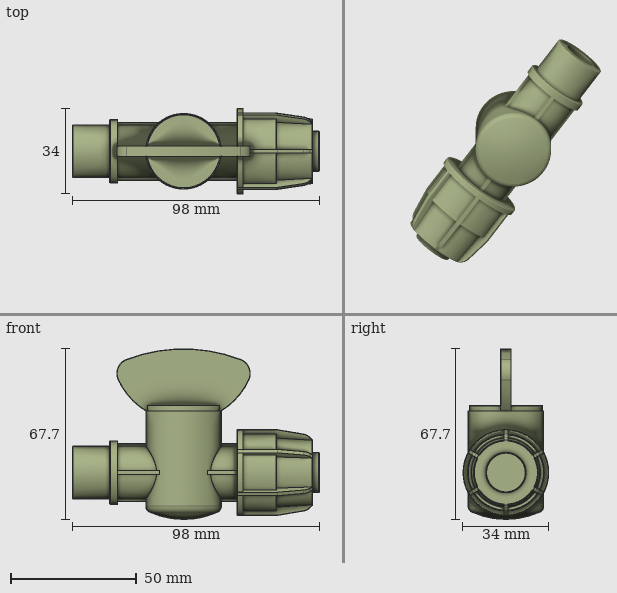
import cadquery as cq
import math


overall_length = 98.0

body_diameter = 30.0
body_top = 24.5
body_bottom = -18.6
dome_radius = 32.3
dome_edge_fillet = 2.5
cap_diameter = 29.0
cap_top = 26.6

handle_thickness = 4.1
handle_top = 49.1
tip_radius = 6.0
tip_center_x = 20.5
tip_center_z = 39.3
tip_lower_angle = -25.0

pipe_diameter = 21.0
bore_diameter = 12.5
spigot_start = -44.1
collar_diameter = 25.2
collar_start = -29.3
collar_end = -26.2
pipe_chamfer = 0.245
rib_width = 1.6
rib_span = 23.0
rib_count = 4

nut_start = 21.2
nut_end = 51.3
flange_diameter = 34.0
flange_thickness = 2.45
grip_diameter = 30.5
grip_end = 36.9
taper_start_diameter = 27.4
taper_end_diameter = 25.7
nut_chamfer = 0.3
fin_count = 6
fin_width = 1.6
fin_slope_start = 37.2
fin_slope_angle = 9.5
fin_nose_angle = 45.0
fin_nose_fillet = 4.9

sleeve_diameter = 16.0
sleeve_end = spigot_start + overall_length


def rod(diameter, start, end):
    """Cylinder on the pipe axis between two X positions."""
    return cq.Workplane("YZ", origin=(start, 0, 0)).circle(diameter / 2).extrude(end - start)


def make_body():
    height = body_top - body_bottom
    body = cq.Workplane("XY", origin=(0, 0, body_bottom)).circle(body_diameter / 2).extrude(height)
    sphere = cq.Workplane("XY", origin=(0, 0, body_bottom + dome_radius)).sphere(dome_radius)
    body = body.intersect(sphere)
    body = body.faces("<Z").edges(">Z").fillet(dome_edge_fillet)
    cap = cq.Workplane("XY", origin=(0, 0, body_top)).circle(cap_diameter / 2).extrude(cap_top - body_top)
    return body.union(cap)


def make_handle():
    drop = handle_top - tip_center_z
    top_radius = (tip_center_x**2 + drop**2 - tip_radius**2) / (2 * (drop - tip_radius))
    join_angle = math.acos(tip_center_x / (top_radius - tip_radius))
    tip_end_angle = math.radians(tip_lower_angle)

    def on_tip(angle):
        x = tip_center_x + tip_radius * math.cos(angle)
        z = tip_center_z + tip_radius * math.sin(angle)
        return (x, z)

    mid_angle = (math.pi / 2 + join_angle) / 2
    top_mid = (
        top_radius * math.cos(mid_angle),
        handle_top - top_radius + top_radius * math.sin(mid_angle),
    )
    half = (
        cq.Workplane("XZ")
        .moveTo(0, handle_top)
        .threePointArc(top_mid, on_tip(join_angle))
        .threePointArc(on_tip(0), on_tip(tip_end_angle))
        .tangentArcPoint((body_diameter / 2, body_top), relative=False)
        .lineTo(0, body_top)
        .close()
        .extrude(handle_thickness / 2, both=True)
    )
    return half.union(half.mirror("YZ"))


def make_pipe():
    pipe = rod(pipe_diameter, spigot_start, nut_start).faces("<X").chamfer(pipe_chamfer)
    collar = rod(collar_diameter, collar_start, collar_end).faces("<X").chamfer(pipe_chamfer)
    pipe = pipe.union(collar)
    rib_length = nut_start - collar_end
    rib_height = rib_span / 2
    rib = cq.Workplane("XY").box(rib_length, rib_width, rib_height, centered=(False, True, False))
    rib = rib.translate((collar_end, 0, 0))
    for i in range(rib_count):
        pipe = pipe.union(rib.rotate((0, 0, 0), (1, 0, 0), i * 360 / rib_count))
    return pipe.cut(rod(bore_diameter, spigot_start, 0))


def make_fin():
    outer = flange_diameter / 2
    nose = taper_end_diameter / 2
    slope = math.tan(math.radians(fin_slope_angle))
    nose_slope = math.tan(math.radians(fin_nose_angle))
    length = nut_end - fin_slope_start
    run = (nose_slope * length - (outer - nose)) / (nose_slope - slope)
    shoulder = (fin_slope_start + run, outer - slope * run)
    outline = [
        (nut_start + nut_chamfer, 0),
        (nut_start + nut_chamfer, outer),
        (fin_slope_start, outer),
        shoulder,
        (nut_end, nose),
        (nut_end, 0),
    ]
    fin = cq.Workplane("XZ").polyline(outline).close().extrude(fin_width / 2, both=True)
    nose_corner = cq.selectors.NearestToPointSelector((shoulder[0], 0, shoulder[1]))
    return fin.edges("|Y").edges(nose_corner).fillet(fin_nose_fillet)


def make_nut():
    flange = rod(flange_diameter, nut_start, nut_start + flange_thickness)
    flange = flange.faces("<X").chamfer(nut_chamfer)
    grip = rod(grip_diameter, nut_start, grip_end).faces(">X").chamfer(nut_chamfer)
    taper = (
        cq.Workplane("YZ", origin=(grip_end, 0, 0))
        .circle(taper_start_diameter / 2)
        .workplane(offset=nut_end - grip_end)
        .circle(taper_end_diameter / 2)
        .loft()
        .faces(">X")
        .chamfer(nut_chamfer)
    )
    nut = flange.union(grip).union(taper)
    fin = make_fin()
    for i in range(fin_count):
        nut = nut.union(fin.rotate((0, 0, 0), (1, 0, 0), i * 360 / fin_count))
    sleeve = rod(sleeve_diameter, nut_end, sleeve_end).faces(">X").chamfer(nut_chamfer)
    return nut.union(sleeve)


result = make_pipe().union(make_body()).union(make_handle()).union(make_nut())